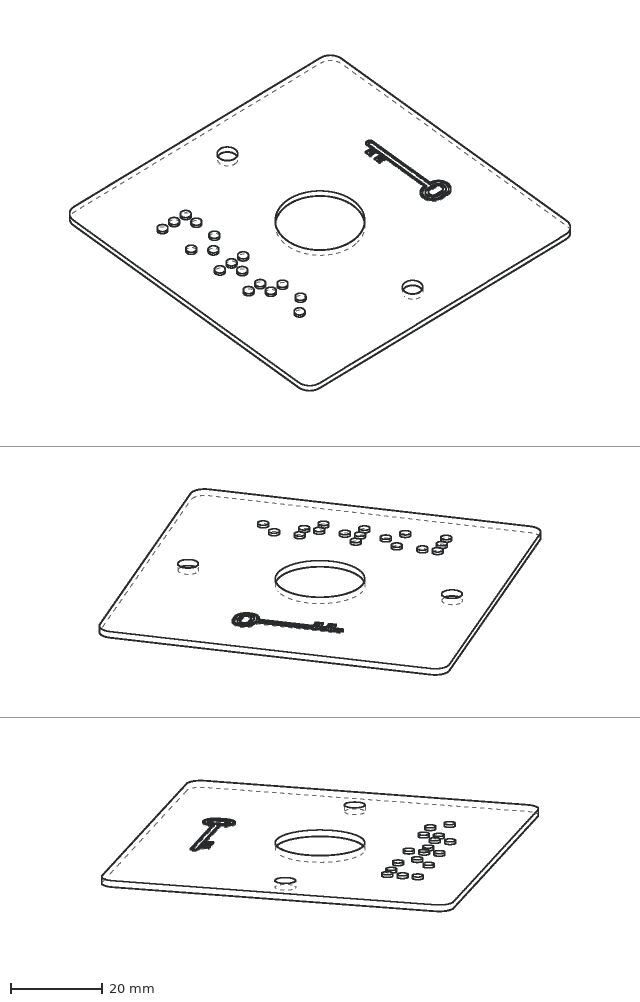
import cadquery as cq

PLATE_SIDE = 79.5
PLATE_THICKNESS = 1.5
PLATE_CORNER_RADIUS = 3.25

CENTRE_HOLE_DIAMETER = 19.6
SCREW_HOLE_DIAMETER = 4.5
SCREW_HOLE_SPACING = 60.0

OVERALL_HEIGHT = 2.19
DOT_HEIGHT = OVERALL_HEIGHT - PLATE_THICKNESS
DOT_WALL_HEIGHT = 0.6
DOT_RADIUS = 1.2
DOT_PITCH = 3.45
CELL_PITCH = 9.3
FIRST_DOT_X = -20.9
FIRST_DOT_Y = -20.7
DOTS_PER_COLUMN = 3
BRAILLE_CELLS = [(1, 2, 3, 4), (1, 3, 5), (1, 2, 3, 5), (2, 3, 4, 5), (1, 5)]

GROOVE_DEPTH = 0.3
KEY_Y = 25.4

BOW_X = 9.74
BOW_STRAIGHT_LENGTH = 1.7
BOW_WIDTH = 5.45
BOW_GROOVE_WIDTH = 0.45
OPENING_WIDTH = 3.3
OPENING_GROOVE_WIDTH = 0.65

SHAFT_TIP_X = -12.42
SHAFT_WIDTH = 1.7
SHAFT_GROOVE_WIDTH = 0.35
SHAFT_TIP_RADIUS = 0.7
SHAFT_TIP_GROOVE_WIDTH = 0.65

TOOTH_WIDTH = 1.7
TOOTH_GROOVE_WIDTH = 0.65
TOOTH_REACH = 2.8
TOOTH_POSITIONS = (-9.24, -6.25)


def make_plate():
    plate = cq.Workplane("XY").rect(PLATE_SIDE, PLATE_SIDE).extrude(PLATE_THICKNESS)
    return plate.edges("|Z").fillet(PLATE_CORNER_RADIUS)


def make_holes():
    centre_hole = cq.Workplane("XY").circle(CENTRE_HOLE_DIAMETER / 2).extrude(PLATE_THICKNESS)
    screw_holes = (
        cq.Workplane("XY")
        .rarray(SCREW_HOLE_SPACING, 1, 2, 1)
        .circle(SCREW_HOLE_DIAMETER / 2)
        .extrude(PLATE_THICKNESS)
    )
    return centre_hole.union(screw_holes)


def dot_centres():
    centres = []
    for cell_index, cell in enumerate(BRAILLE_CELLS):
        for dot in cell:
            column, row = divmod(dot - 1, DOTS_PER_COLUMN)
            x = FIRST_DOT_X + cell_index * CELL_PITCH + column * DOT_PITCH
            y = FIRST_DOT_Y - row * DOT_PITCH
            centres.append((x, y, PLATE_THICKNESS))
    return centres


def make_dot():
    """One dot standing on Z = 0: a cylinder trimmed by a large sphere."""
    dome_height = DOT_HEIGHT - DOT_WALL_HEIGHT
    dome_radius = (DOT_RADIUS**2 + dome_height**2) / (2 * dome_height)
    cylinder = cq.Workplane("XY").circle(DOT_RADIUS).extrude(DOT_HEIGHT)
    sphere = cq.Workplane("XY").sphere(dome_radius, direct=(1, 1, 0))
    return cylinder.intersect(sphere.translate((0, 0, DOT_HEIGHT - dome_radius)))


def make_dots():
    dot = make_dot().solids().val()
    return cq.Workplane("XY").pushPoints(dot_centres()).eachpoint(dot)


def groove_floor(x, y):
    return cq.Workplane("XY", origin=(x, y, PLATE_THICKNESS - GROOVE_DEPTH))


def bow_loop(width):
    """Solid upright obround centred on the bow."""
    return groove_floor(BOW_X, KEY_Y).slot2D(BOW_STRAIGHT_LENGTH + width, width, 90).extrude(GROOVE_DEPTH)


def shaft_bar(side_inset, tip_inset):
    """Shaft from its rounded tip to the bow centre, with its sides and tip moved inward."""
    length = BOW_X - SHAFT_TIP_X - tip_inset
    width = SHAFT_WIDTH - 2 * side_inset
    bar = groove_floor(BOW_X - length / 2, KEY_Y).rect(length, width).extrude(GROOVE_DEPTH)
    return bar.edges("|Z and <X").fillet(SHAFT_TIP_RADIUS - side_inset)


def teeth(inset):
    """Teeth reaching down from the shaft centre line, with their outline moved inward by inset."""
    length = TOOTH_REACH - inset
    tooth_centres = [(x, 0) for x in TOOTH_POSITIONS]
    return (
        groove_floor(0, KEY_Y - length / 2)
        .pushPoints(tooth_centres)
        .rect(TOOTH_WIDTH - 2 * inset, length)
        .extrude(GROOVE_DEPTH)
    )


def key_shape(bow_inset, shaft_inset, tip_inset, tooth_inset):
    bow = bow_loop(BOW_WIDTH - 2 * bow_inset)
    return bow.union(shaft_bar(shaft_inset, tip_inset)).union(teeth(tooth_inset))


def make_key_grooves():
    key_outside = key_shape(0, 0, 0, 0)
    key_inside = key_shape(
        BOW_GROOVE_WIDTH, SHAFT_GROOVE_WIDTH, SHAFT_TIP_GROOVE_WIDTH, TOOTH_GROOVE_WIDTH
    )
    outline_groove = key_outside.cut(key_inside)
    opening_island = bow_loop(OPENING_WIDTH - 2 * OPENING_GROOVE_WIDTH)
    opening_groove = bow_loop(OPENING_WIDTH).cut(opening_island)
    return outline_groove.union(opening_groove)


result = make_plate().union(make_dots()).cut(make_holes()).cut(make_key_grooves())